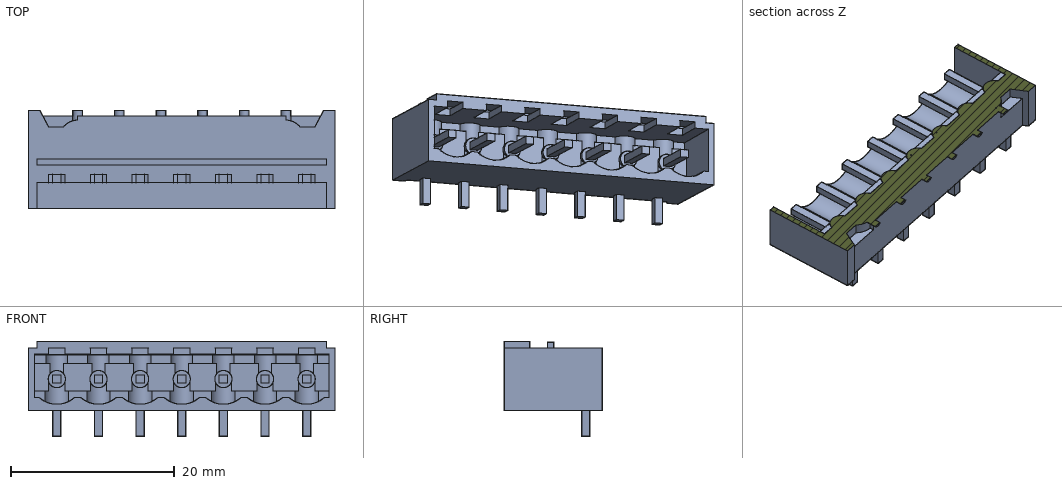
import cadquery as cq
import math

length = 37.45
depth = 12.0
height = 7.68
back_wall_y = 11.3

contact_count = 7
first_pin_x = 3.5
pitch = (length - 2 * first_pin_x) / (contact_count - 1)
pin_width = 1.0
pin_tip_y = 0.97
blade_height = 0.95
pin_z = 3.85
tail_length = 3.15
tail_y = 9.95
pin_xs = [first_pin_x + i * pitch for i in range(contact_count)]

side_wall = 0.75
cavity_floor_z = 1.6
roof_front_z = 6.9
roof_back_z = 6.78
cavity_depth = 7.85
trough_width = 4.3
trough_sag = 0.82
key_width = 2.0
key_depth = 4.15

column_setback = 0.45
band_reach = 1.12
collar_step = 0.1
column_axis_y = cavity_depth + column_setback
band_y = column_axis_y - band_reach
band_bottom_z = 2.4
band_top_z = 5.77
lower_column_radius = 1.5
upper_column_radius = 1.4
collar_radius = 1.05
collar_front_y = column_axis_y - lower_column_radius - collar_step

rail_inset = 1.05
rail_depth = 3.15
rail_height = 0.8
rib_y = 5.3
rib_width = 0.8
rib_height = 0.67

notch_floor_z = 4.5
notch_y = 9.95
notch_lip_y = 10.8
wing_width = 1.42
notch_flat_start = 2.47
notch_flat_end = 4.3
peg_radius = 0.6
peg_z = 6.1
peg_root_y = 9.75
peg_xs = [x + pitch / 2 for x in pin_xs[:-1]]
notch_end = peg_xs[0]

overlap = 0.37


def box(x0, x1, y0, y1, z0, z1):
    """Box between two corner positions."""
    return cq.Workplane("XY").box(x1 - x0, y1 - y0, z1 - z0, centered=False).translate((x0, y0, z0))


def rod_along_y(x, z, radius, y0, y1):
    """Round rod parallel to Y."""
    return cq.Workplane("XZ", origin=(x, y0, z)).circle(radius).extrude(y0 - y1)


def column(x, radius, z0, z1):
    """Upright round column centred just behind the back face of the cavity."""
    return cq.Workplane("XY", origin=(x, column_axis_y, z0)).circle(radius).extrude(z1 - z0)


def shell():
    """Housing with wings that stand out behind the back wall, plus rail and rib."""
    body = box(0, length, 0, depth, 0, height)
    wing_root = wing_width + (notch_flat_start - wing_width) * (depth - back_wall_y) / (depth - notch_y)
    recess = (
        cq.Workplane("XY")
        .polyline([
            (wing_width, depth),
            (wing_root, back_wall_y),
            (length - wing_root, back_wall_y),
            (length - wing_width, depth),
        ])
        .close()
        .extrude(height)
    )
    rail = box(rail_inset, length - rail_inset, 0, rail_depth, height, height + rail_height)
    rib = box(rail_inset, length - rail_inset, rib_y, rib_y + rib_width, height, height + rib_height)
    return body.cut(recess).union(rail).union(rib)


def corner_notch():
    """Notch beside the left wing; its inner side is an arc that levels out at the first peg."""
    run = notch_end - notch_flat_end
    rise = notch_lip_y - notch_y
    radius = (run**2 + rise**2) / (2 * rise)
    half_angle = math.asin(run / radius) / 2
    arc_middle = (
        notch_end - radius * math.sin(half_angle),
        notch_lip_y - radius * (1 - math.cos(half_angle)),
    )
    return (
        cq.Workplane("XY", origin=(0, 0, notch_floor_z))
        .moveTo(wing_width, depth)
        .lineTo(notch_flat_start, notch_y)
        .lineTo(notch_flat_end, notch_y)
        .threePointArc(arc_middle, (notch_end, notch_lip_y))
        .lineTo(notch_end, depth)
        .close()
        .extrude(height - notch_floor_z)
    )


def cavity():
    """Open space for the plug: tapered box, rounded troughs below and key slots above."""
    space = (
        cq.Workplane("YZ", origin=(side_wall, 0, 0))
        .polyline([
            (0, cavity_floor_z),
            (cavity_depth, cavity_floor_z),
            (cavity_depth, roof_back_z),
            (0, roof_front_z),
        ])
        .close()
        .extrude(length - 2 * side_wall)
    )
    for x in pin_xs:
        trough = (
            cq.Workplane("XZ")
            .moveTo(x - trough_width / 2, cavity_floor_z)
            .threePointArc((x, cavity_floor_z - trough_sag), (x + trough_width / 2, cavity_floor_z))
            .lineTo(x + trough_width / 2, cavity_floor_z + overlap)
            .lineTo(x - trough_width / 2, cavity_floor_z + overlap)
            .close()
            .extrude(-cavity_depth)
        )
        key = box(x - key_width / 2, x + key_width / 2, 0, key_depth, roof_back_z - overlap, height)
        space = space.union(trough).union(key)
    return space


def contact_support(x):
    """Stepped column with a round collar about the contact."""
    floor_z = cavity_floor_z - trough_sag
    lower = column(x, lower_column_radius, floor_z - overlap, pin_z)
    upper = column(x, upper_column_radius, pin_z, roof_back_z + overlap)
    collar = rod_along_y(x, pin_z, collar_radius, collar_front_y, cavity_depth + overlap)
    return lower.union(upper).union(collar)


def contact(x):
    """Pin that runs back through the housing and bends down into a tail."""
    half = pin_width / 2
    bottom_z = pin_z - blade_height / 2
    blade = box(x - half, x + half, pin_tip_y, tail_y + half, bottom_z, bottom_z + blade_height)
    tail = box(x - half, x + half, tail_y - half, tail_y + half, -tail_length, pin_z)
    return blade.union(tail)


left_notch = corner_notch()
right_notch = left_notch.mirror("YZ").translate((length, 0, 0))
result = shell().cut(left_notch).cut(right_notch).cut(cavity())

result = result.union(
    box(side_wall, length - side_wall, band_y, cavity_depth + overlap, band_bottom_z, band_top_z)
)
for pin_x in pin_xs:
    result = result.union(contact_support(pin_x)).union(contact(pin_x))
for peg_x in peg_xs:
    result = result.union(rod_along_y(peg_x, peg_z, peg_radius, peg_root_y, depth))